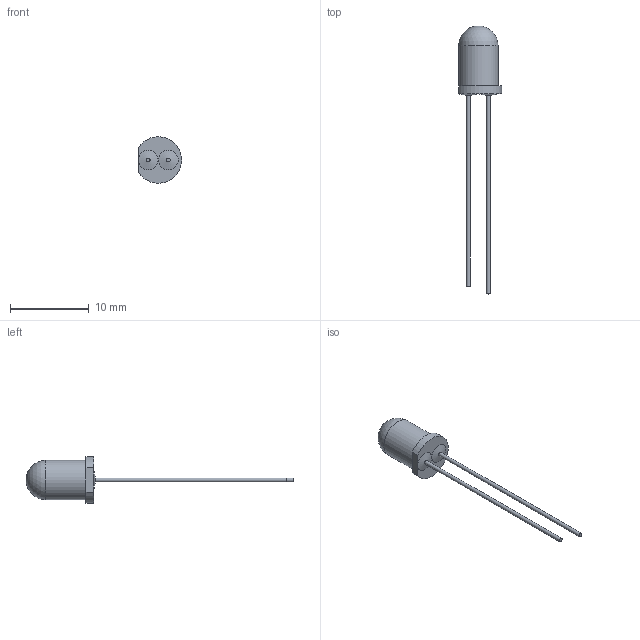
import cadquery as cq
import math

body_radius = 2.5
body_length = 8.6
flange_radius = 2.95
flange_thickness = 1.0
flat_offset = body_radius

lead_pitch = 2.54
lead_diameter = 0.5
long_lead_length = 25.4
short_lead_length = 24.4

mound_radius = 1.25
mound_height = 0.2
lead_root_depth = 0.5


def make_lens():
    """Cylindrical body closed by a hemispherical dome, revolved about Y."""
    dome_start = body_length - body_radius
    dome_middle = body_radius * math.cos(math.radians(45))
    return (
        cq.Workplane("XY")
        .lineTo(body_radius, 0)
        .lineTo(body_radius, dome_start)
        .threePointArc((dome_middle, dome_start + dome_middle), (0, body_length))
        .close()
        .revolve(360, (0, 0), (0, 1))
    )


def make_flange():
    """Disc at the foot of the body, cut flat on the -X side."""
    disc = cq.Workplane("XZ").circle(flange_radius).extrude(-flange_thickness)
    kept_width = flat_offset + flange_radius
    kept_block = cq.Workplane("XY").box(
        kept_width, flange_thickness, 2 * flange_radius, centered=(False, False, True)
    )
    return disc.intersect(kept_block.translate((-flat_offset, 0, 0)))


def make_mound(x):
    """Shallow cone below the flange, narrowing to the lead at the given X."""
    lead_radius = lead_diameter / 2
    return (
        cq.Workplane("XY")
        .lineTo(mound_radius, 0)
        .lineTo(lead_radius, -mound_height)
        .lineTo(0, -mound_height)
        .close()
        .revolve(360, (0, 0), (0, 1))
        .translate((x, 0, 0))
    )


def make_lead(x, length):
    """Round lead reaching the given length below the flange."""
    return (
        cq.Workplane("XZ", origin=(x, lead_root_depth, 0))
        .circle(lead_diameter / 2)
        .extrude(length + lead_root_depth)
    )


result = make_lens().union(make_flange())
for lead_x, lead_length in (
    (-lead_pitch / 2, short_lead_length),
    (lead_pitch / 2, long_lead_length),
):
    result = result.union(make_mound(lead_x)).union(make_lead(lead_x, lead_length))